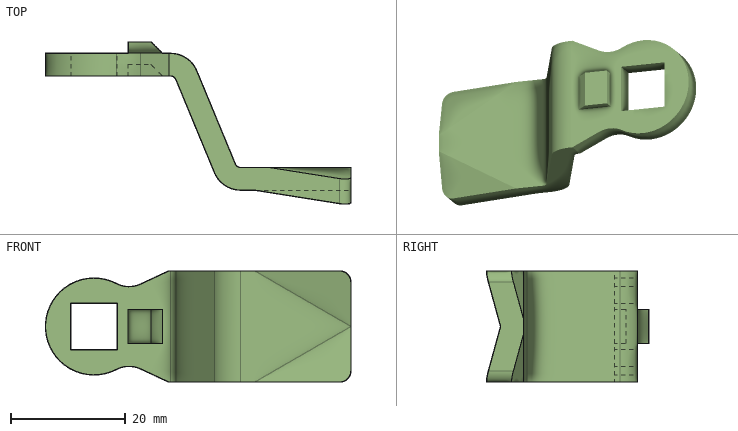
import cadquery as cq
import math


thickness = 4.0
width = 19.5
half_width = width / 2
offset = 20.0
crank_angle = 67.5
inner_radius = 1.0
outer_radius = inner_radius + thickness
crank_start = 13.4
tail_end = 45.0

head_radius = 8.5
square_size = 8.1
neck_half_width = 7.0
neck_radius = 4.8
flare_angle = 25.0

tab_start = 6.0
tab_ramp_start = 10.0
tab_end = 12.0
tab_width = 6.0
tab_height = 2.0

corner_radius = 2.0
fold_angle = 30.0
wing_drop = 2.44

bend_tangent = math.tan(math.radians(crank_angle / 2))
bend_one_front = crank_start + inner_radius * bend_tangent
bend_one_back = bend_one_front + thickness * bend_tangent
crank_run = offset / math.tan(math.radians(crank_angle))
bend_two_front = bend_one_front + crank_run
bend_two_back = bend_one_back + crank_run
tail_start = bend_two_front + outer_radius * bend_tangent
head_front = -thickness
tail_back = -offset
tail_front = tail_back - thickness


def cranked_strip():
    """Full-width strip with both bends, not yet shaped in plan."""
    outline = [
        (-head_radius, 0),
        (bend_one_back, 0),
        (bend_two_back, tail_back),
        (tail_end, tail_back),
        (tail_end, tail_front),
        (bend_two_front, tail_front),
        (bend_one_front, head_front),
        (-head_radius, head_front),
    ]
    strip = cq.Workplane("XY").polyline(outline).close().extrude(half_width, both=True)

    bends = [
        (bend_one_back, 0, outer_radius),
        (bend_one_front, head_front, inner_radius),
        (bend_two_back, tail_back, inner_radius),
        (bend_two_front, tail_front, outer_radius),
    ]
    for x, y, radius in bends:
        corner = cq.selectors.NearestToPointSelector((x, y, 0))
        strip = strip.edges("|Z").edges(corner).fillet(radius)
    return strip


def plan_outline():
    """Block bounded by the round head, the neck, the flare and the full-width strip."""
    neck_z = neck_half_width + neck_radius
    neck_x = math.sqrt((head_radius + neck_radius) ** 2 - neck_z ** 2)
    head_share = head_radius / (head_radius + neck_radius)
    head_tangent = (neck_x * head_share, neck_z * head_share)

    flare = math.radians(flare_angle)
    flare_start = (neck_x + neck_radius * math.sin(flare), neck_z - neck_radius * math.cos(flare))
    flare_end = flare_start[0] + (half_width - flare_start[1]) / math.tan(flare)

    half = (
        cq.Workplane("XZ", origin=(0, tail_front, 0))
        .moveTo(-head_radius, 0)
        .radiusArc(head_tangent, head_radius)
        .radiusArc(flare_start, -neck_radius)
        .lineTo(flare_end, half_width)
        .lineTo(tail_start, half_width)
        .lineTo(tail_start, 0)
        .close()
        .extrude(tail_front)
    )
    return half.union(half.mirror("XY"))


def tab_block(base_y):
    """Ramped block rising in Y from base_y; it shapes both the tab and the pocket behind it."""
    return (
        cq.Workplane("XY")
        .moveTo(tab_start, base_y)
        .lineTo(tab_end, base_y)
        .lineTo(tab_ramp_start, base_y + tab_height)
        .lineTo(tab_start, base_y + tab_height)
        .close()
        .extrude(tab_width / 2, both=True)
    )


def square_hole():
    """Square drive hole through the head."""
    return cq.Workplane("XY").box(square_size, 2 * thickness + tab_height, square_size)


def folded_tail():
    """Flat triangular tail with a wing folded forward on each side of it."""
    fold = math.radians(fold_angle)
    across = (math.sin(fold), 0, math.cos(fold))
    along = (-math.cos(fold), 0, math.sin(fold))
    length = tail_end - tail_start

    corner_centre_reach = (half_width - corner_radius) * across[2] - corner_radius * across[0]
    corner_reach = corner_centre_reach + corner_radius
    wing_slope = wing_drop / corner_reach
    back_fold = thickness * wing_slope
    reach = length + width

    section = [
        (-reach, 0),
        (0, 0),
        (reach, -reach * wing_slope),
        (reach, thickness - (reach - back_fold) * wing_slope),
        (back_fold, thickness),
        (-reach, thickness),
    ]
    fold_plane = cq.Plane(origin=(tail_end, tail_front, 0), xDir=across, normal=along)
    sheet = cq.Workplane(fold_plane).polyline(section).close().extrude(reach, both=True)

    half_outline = (
        cq.Workplane("XY")
        .box(length, 4 * thickness, half_width, centered=(False, True, False))
        .edges("|Y and >X and >Z")
        .fillet(corner_radius)
        .translate((tail_start, tail_front, 0))
    )
    half = sheet.intersect(half_outline)
    return half.union(half.mirror("XY"))


body = cranked_strip().intersect(plan_outline()).union(folded_tail())
body = body.union(tab_block(0))
body = body.cut(tab_block(head_front))
result = body.cut(square_hole())